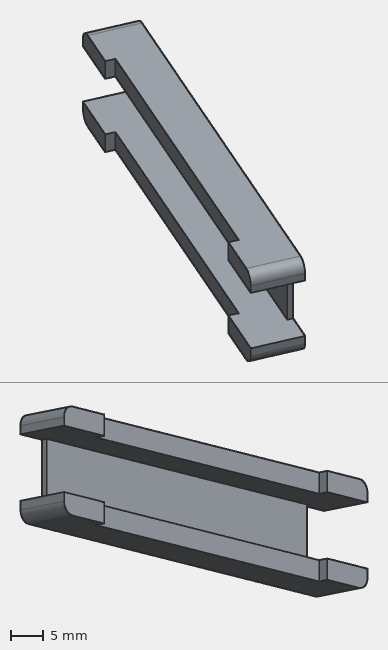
import cadquery as cq

length = 70.4
depth = 9.0
height = 17.25

rail_thickness = 3.4
corner_radius = 2.0

foot_length = 9.35
recess_depth = 1.7

web_length = 60.4
web_thickness = 1.0

rail_gap = height - 2 * rail_thickness


def make_rails():
    """Two rails with rounded outer ends and a recessed front edge."""
    envelope = cq.Workplane("XY").box(length, depth, height).edges("|Y").fillet(corner_radius)
    gap = cq.Workplane("XY").box(length, depth, rail_gap)
    recess = (
        cq.Workplane("XY")
        .box(length - 2 * foot_length, recess_depth, height)
        .translate((0, (recess_depth - depth) / 2, 0))
    )
    return envelope.cut(gap).cut(recess)


def make_web():
    """Thin plate flush with the back of the rails."""
    return (
        cq.Workplane("XY")
        .box(web_length, web_thickness, rail_gap)
        .translate((0, (depth - web_thickness) / 2, 0))
    )


result = make_rails().union(make_web())